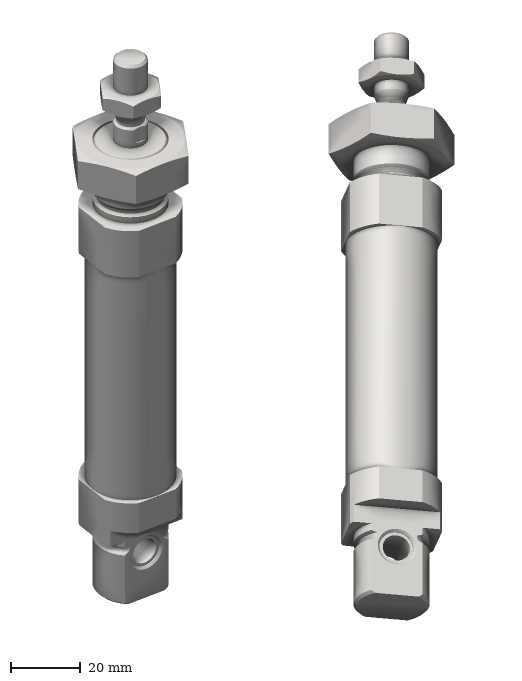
import cadquery as cq
import math

OVERALL_LENGTH = 181.5

BARREL_DIA = 26.5
CAP_DIA = 30.0
CAP_ACROSS_FLATS = 27.0
REAR_CAP_BOTTOM = 22.1
REAR_CAP_TOP = 37.8
FRONT_CAP_BOTTOM = 115.5
FRONT_CAP_TOP = 131.4

THREAD_DIA = 22.0
THREAD_CHAMFER_DIA = 20.3
UNDERCUT_DIA = 19.8
COLLAR_LENGTH = 2.2
UNDERCUT_FLANK = 0.5
UNDERCUT_LENGTH = 0.9
THREAD_CHAMFER = (THREAD_DIA - THREAD_CHAMFER_DIA) / 2

EYE_THICKNESS = 16.0
EYE_SHOULDER_HEIGHT = 27.5
EYE_HOLE_DIA = 8.0
EYE_RECESS_DIA = 10.0
EYE_RECESS_DEPTH = 0.9
EYE_CHAMFER_DIA = 11.3
EYE_HOLE_HEIGHT = 15.5

MOUNT_NUT_ACROSS_FLATS = 32.0
MOUNT_NUT_HEIGHT = 11.0
MOUNT_NUT_BOTTOM = 142.3
MOUNT_NUT_TOP = MOUNT_NUT_BOTTOM + MOUNT_NUT_HEIGHT

ROD_DIA = 10.0
ROD_TIP_DIA = 8.5
ROD_NECK_DIA = 8.3
ROD_SHOULDER = 160.0
ROD_SHOULDER_CHAMFER = 0.5
NECK_TOP = 161.0
ROD_THREAD_BOTTOM = 163.2
ROD_ACROSS_FLATS = 9.3
ROD_FLAT_BOTTOM = 155.0
ROD_TIP_CHAMFER = (ROD_DIA - ROD_TIP_DIA) / 2

ROD_NUT_ACROSS_FLATS = 16.9
ROD_NUT_HEIGHT = 5.5
ROD_NUT_BOTTOM = 166.0

MOUNT_NUT_CHAMFER_ANGLE = 15.0
ROD_NUT_CHAMFER_ANGLE = 25.0
NUT_FACE_RATIO = 0.98

NOSE_TOP = MOUNT_NUT_TOP


def cylinder(diameter, bottom, top):
    return cq.Workplane("XY").workplane(offset=bottom).circle(diameter / 2).extrude(top - bottom)


def revolved(points):
    """Turn a closed outline of (radius, height) points around the Z axis."""
    return cq.Workplane("XZ").polyline(points).close().revolve(360, (0, 0, 0), (0, 1, 0))


def square_cap(bottom, top):
    height = top - bottom
    flats = (
        cq.Workplane("XY")
        .workplane(offset=bottom)
        .rect(CAP_ACROSS_FLATS, CAP_ACROSS_FLATS)
        .extrude(height)
    )
    return cylinder(CAP_DIA, bottom, top).intersect(flats)


def threaded_end(cap_face, tip):
    """Collar, undercut and chamfered thread, from a cap face out to the tip."""
    outward = math.copysign(1, tip - cap_face)
    thread_r = THREAD_DIA / 2
    chamfer_r = THREAD_CHAMFER_DIA / 2
    undercut_r = UNDERCUT_DIA / 2
    collar_end = cap_face + outward * COLLAR_LENGTH
    undercut_start = collar_end + outward * UNDERCUT_FLANK
    undercut_end = undercut_start + outward * UNDERCUT_LENGTH
    thread_start = undercut_end + outward * UNDERCUT_FLANK
    return revolved([
        (0, cap_face),
        (thread_r, cap_face),
        (thread_r, collar_end),
        (undercut_r, undercut_start),
        (undercut_r, undercut_end),
        (chamfer_r, thread_start),
        (thread_r, thread_start + outward * THREAD_CHAMFER),
        (thread_r, tip - outward * THREAD_CHAMFER),
        (chamfer_r, tip),
        (0, tip),
    ])


def eye_side_cut(side):
    """Material removed on one side (-1 or +1) to leave the flat eye."""
    return (
        cq.Workplane("XY")
        .center(side * (EYE_THICKNESS + CAP_DIA) / 2, 0)
        .rect(CAP_DIA, 2 * CAP_DIA)
        .extrude(EYE_SHOULDER_HEIGHT)
    )


def eye_hole():
    """Cross hole along X, with a chamfered recess around its mouth on both sides."""
    half = EYE_THICKNESS / 2
    hole_r = EYE_HOLE_DIA / 2
    recess_r = EYE_RECESS_DIA / 2
    mouth_r = EYE_CHAMFER_DIA / 2
    chamfer = mouth_r - recess_r
    recess_floor = half - EYE_RECESS_DEPTH
    outline = [
        (-half, 0),
        (-half, mouth_r),
        (-half + chamfer, recess_r),
        (-recess_floor, recess_r),
        (-recess_floor, hole_r),
        (recess_floor, hole_r),
        (recess_floor, recess_r),
        (half - chamfer, recess_r),
        (half, mouth_r),
        (half, 0),
    ]
    hole = cq.Workplane("XY").polyline(outline).close().revolve(360, (0, 0, 0), (1, 0, 0))
    return hole.translate((0, 0, EYE_HOLE_HEIGHT))


def make_housing():
    body = cylinder(BARREL_DIA, REAR_CAP_TOP, FRONT_CAP_BOTTOM)
    body = body.union(square_cap(REAR_CAP_BOTTOM, REAR_CAP_TOP))
    body = body.union(square_cap(FRONT_CAP_BOTTOM, FRONT_CAP_TOP))
    body = body.union(threaded_end(FRONT_CAP_TOP, NOSE_TOP))
    body = body.union(threaded_end(REAR_CAP_BOTTOM, 0))
    for side in (-1, 1):
        body = body.cut(eye_side_cut(side))
    body = body.cut(eye_hole())
    return body.cut(cylinder(ROD_DIA, FRONT_CAP_BOTTOM, NOSE_TOP))


def make_rod():
    rod_r = ROD_DIA / 2
    neck_r = ROD_NECK_DIA / 2
    rod = revolved([
        (0, FRONT_CAP_BOTTOM),
        (rod_r, FRONT_CAP_BOTTOM),
        (rod_r, ROD_SHOULDER - ROD_SHOULDER_CHAMFER),
        (rod_r - ROD_SHOULDER_CHAMFER, ROD_SHOULDER),
        (neck_r, ROD_SHOULDER),
        (neck_r, NECK_TOP),
        (rod_r, ROD_THREAD_BOTTOM),
        (rod_r, OVERALL_LENGTH - ROD_TIP_CHAMFER),
        (ROD_TIP_DIA / 2, OVERALL_LENGTH),
        (0, OVERALL_LENGTH),
    ])
    for side in (-1, 1):
        flat_cut = (
            cq.Workplane("XY")
            .workplane(offset=ROD_FLAT_BOTTOM)
            .center(side * (ROD_ACROSS_FLATS + ROD_DIA) / 2, 0)
            .rect(ROD_DIA, 2 * ROD_DIA)
            .extrude(ROD_SHOULDER - ROD_FLAT_BOTTOM)
        )
        rod = rod.cut(flat_cut)
    return rod


def hex_nut(across_flats, bore_dia, bottom, height, chamfer_angle):
    """Hexagon nut with two flats facing -X and +X and chamfered corners."""
    top = bottom + height
    corner_r = across_flats / math.sqrt(3)
    face_r = across_flats / 2 * NUT_FACE_RATIO
    chamfer = (corner_r - face_r) * math.tan(math.radians(chamfer_angle))
    hexagon = (
        cq.Workplane("XY")
        .workplane(offset=bottom)
        .transformed(rotate=(0, 0, 90))
        .polygon(6, 2 * corner_r)
        .extrude(height)
    )
    envelope = revolved([
        (0, bottom),
        (face_r, bottom),
        (corner_r, bottom + chamfer),
        (corner_r, top - chamfer),
        (face_r, top),
        (0, top),
    ])
    return hexagon.intersect(envelope).cut(cylinder(bore_dia, bottom, top))


housing = make_housing()
rod = make_rod()
rod_nut = hex_nut(
    ROD_NUT_ACROSS_FLATS, ROD_DIA, ROD_NUT_BOTTOM, ROD_NUT_HEIGHT, ROD_NUT_CHAMFER_ANGLE
)
mount_nut = hex_nut(
    MOUNT_NUT_ACROSS_FLATS, THREAD_DIA, MOUNT_NUT_BOTTOM, MOUNT_NUT_HEIGHT, MOUNT_NUT_CHAMFER_ANGLE
)

result = cq.Compound.makeCompound([housing.val(), rod.val(), rod_nut.val(), mount_nut.val()])